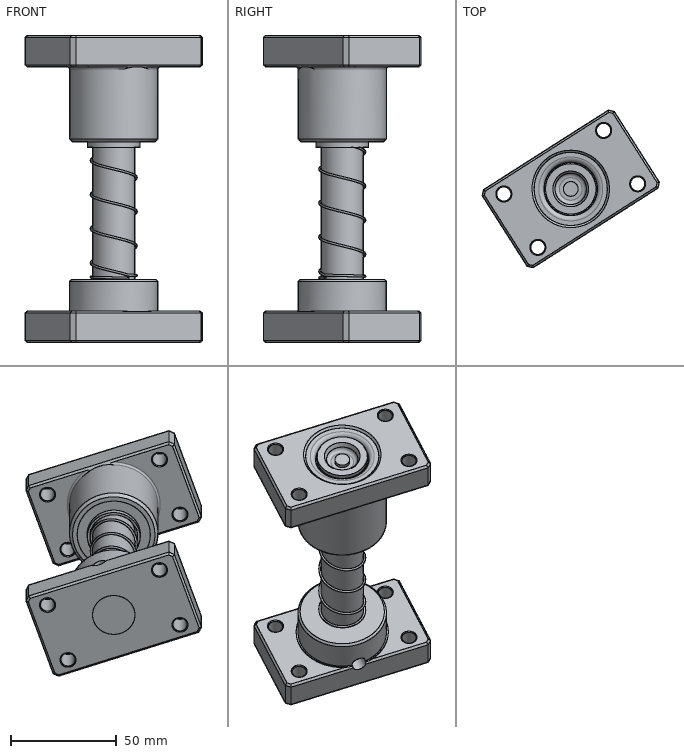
import cadquery as cq
import math

TOTAL_HEIGHT = 145.5
PLAN_ANGLE = 32.5

PLATE_LENGTH = 74.2
PLATE_WIDTH = 43.8
PLATE_THICKNESS = 15.0
CORNER_CHAMFER = 2.0
EDGE_CHAMFER = 1.0
CHAMFER_ANGLE = 45.0
BOLT_PITCH_LONG = 56.0
BOLT_PITCH_SHORT = 30.0
BOLT_HOLE_RADIUS = 3.3
BOLT_HOLE_CHAMFER = 0.5

BOSS_RADIUS = 21.0
LOWER_BOSS_HEIGHT = 15.0
LOWER_BOSS_CHAMFER = 1.0
UPPER_BOSS_HEIGHT = 35.5
UPPER_BOSS_CHAMFER = 1.5
CROSS_HOLE_RADIUS = 3.3
ROOT_GROOVE_WIDTH = 0.9
ROOT_GROOVE_DEPTH = 0.3
ROOT_FILLET = 1.0

BUSH_RADIUS = 17.3
BUSH_BORE_RADIUS = 12.7
BUSH_MOUTH_FILLET = 2.5
BUSH_RECESS = 1.0

POST_RADIUS = 10.0
DISH_RADIUS = 7.4
DISH_FILLET = 2.0
PIN_RADIUS = 3.5
PIN_HEIGHT = 1.7

CAP_RADIUS = 12.0
CAP_THICKNESS = 2.2
CAP_HOLE_TOP_RADIUS = 8.5

CAGE_RADIUS = 12.5
CAGE_PROTRUSION = 2.6
SPRING_POCKET_RADIUS = 11.3

WIRE_RADIUS = 0.51
COIL_RADIUS = 10.6
SPRING_PITCH = 16.2
ACTIVE_TURNS = 4.0
CLOSED_PITCH = 1.5
CLOSED_TURNS = 1.0
SPRING_START_ANGLE = 310.0
POINTS_PER_TURN = 24

LOWER_TOP = PLATE_THICKNESS + LOWER_BOSS_HEIGHT
UPPER_PLATE_BOTTOM = TOTAL_HEIGHT - PLATE_THICKNESS
UPPER_BOTTOM = UPPER_PLATE_BOTTOM - UPPER_BOSS_HEIGHT
CAGE_BOTTOM = UPPER_BOTTOM - CAGE_PROTRUSION
CAP_TOP = TOTAL_HEIGHT - BUSH_RECESS
POST_TOP = CAP_TOP - CAP_THICKNESS
DISH_FLOOR = POST_TOP - DISH_FILLET
SPRING_BOTTOM = LOWER_TOP + WIRE_RADIUS
SPRING_RISE = 2 * CLOSED_TURNS * CLOSED_PITCH + ACTIVE_TURNS * SPRING_PITCH
SPRING_POCKET_TOP = SPRING_BOTTOM + SPRING_RISE + WIRE_RADIUS


def cylinder(radius, bottom, top):
    """Solid cylinder on the common axis between two levels."""
    return cq.Workplane("XY").workplane(offset=bottom).circle(radius).extrude(top - bottom)


def flange_plate(bottom):
    """Rectangular plate with chamfered edges and four bolt holes, long side along X."""
    plate = (
        cq.Workplane("XY")
        .workplane(offset=bottom)
        .rect(PLATE_LENGTH, PLATE_WIDTH)
        .extrude(PLATE_THICKNESS)
        .edges("|Z")
        .chamfer(CORNER_CHAMFER)
        .faces("<Z or >Z")
        .edges()
        .chamfer(EDGE_CHAMFER)
    )
    drilled = (
        plate.faces(">Z")
        .workplane(origin=(0, 0, 0))
        .rect(BOLT_PITCH_LONG, BOLT_PITCH_SHORT, forConstruction=True)
        .vertices()
        .hole(2 * BOLT_HOLE_RADIUS)
    )
    return drilled.faces("<Z or >Z").edges("%CIRCLE").chamfer(BOLT_HOLE_CHAMFER)


def cone(bottom_radius, top_radius, bottom, top):
    """Solid cone frustum on the common axis between two levels."""
    base = cq.Vector(0, 0, bottom)
    return cq.Workplane("XY").add(cq.Solid.makeCone(bottom_radius, top_radius, top - bottom, base))


def turned_in_plan(body):
    """Turn a holder from the axes to its angle in plan."""
    return body.rotate((0, 0, 0), (0, 0, 1), PLAN_ANGLE)


def make_lower_holder():
    """Flange with a boss for the post, a shallow groove round its root and a cross hole."""
    boss = cylinder(BOSS_RADIUS, 0, LOWER_TOP).faces(">Z").chamfer(LOWER_BOSS_CHAMFER)
    bore = cylinder(POST_RADIUS, 0, LOWER_TOP)
    cross_hole = (
        cq.Workplane("XZ")
        .center(0, PLATE_THICKNESS)
        .circle(CROSS_HOLE_RADIUS)
        .extrude(-PLATE_WIDTH / 2)
    )
    root_groove = cylinder(
        BOSS_RADIUS + ROOT_GROOVE_WIDTH, PLATE_THICKNESS - ROOT_GROOVE_DEPTH, PLATE_THICKNESS
    )
    holder = flange_plate(0).cut(root_groove).union(boss)
    return turned_in_plan(holder.cut(bore).cut(cross_hole))


def upper_root_fillet():
    """Concave fillet under the upper plate, dying out where the plate's edge chamfer meets the boss."""
    fillet_bottom = UPPER_PLATE_BOTTOM - ROOT_FILLET
    ring = (
        cq.Workplane("XZ")
        .moveTo(BUSH_RADIUS, UPPER_PLATE_BOTTOM)
        .lineTo(BUSH_RADIUS, fillet_bottom)
        .lineTo(BOSS_RADIUS, fillet_bottom)
        .radiusArc((BOSS_RADIUS + ROOT_FILLET, UPPER_PLATE_BOTTOM), ROOT_FILLET)
        .close()
        .revolve(360, (0, 0, 0), (0, 1, 0))
    )
    chamfer_limit = (
        cq.Workplane("XY")
        .workplane(offset=UPPER_PLATE_BOTTOM)
        .rect(PLATE_LENGTH - 2 * EDGE_CHAMFER, PLATE_WIDTH - 2 * EDGE_CHAMFER)
        .extrude(-ROOT_FILLET, taper=CHAMFER_ANGLE)
    )
    return ring.intersect(chamfer_limit)


def make_upper_holder():
    """Flange with a long boss bored right through for the bush."""
    boss = cylinder(BOSS_RADIUS, UPPER_BOTTOM, UPPER_PLATE_BOTTOM)
    boss = boss.faces("<Z").chamfer(UPPER_BOSS_CHAMFER).union(upper_root_fillet())
    bore = cylinder(BUSH_RADIUS, UPPER_BOTTOM, TOTAL_HEIGHT)
    holder = flange_plate(UPPER_PLATE_BOTTOM).union(boss).cut(bore)
    mouth = cone(BUSH_RADIUS, BUSH_RADIUS + BUSH_RECESS, CAP_TOP, TOTAL_HEIGHT)
    return turned_in_plan(holder.cut(mouth))


def make_bush():
    """Plain bush whose bore opens at the top through a rounded mouth."""
    body = cylinder(BUSH_RADIUS, UPPER_BOTTOM, CAP_TOP)
    bore = cylinder(BUSH_BORE_RADIUS, UPPER_BOTTOM, CAP_TOP)
    mouth_edge = cq.selectors.RadiusNthSelector(0)
    return body.cut(bore).faces(">Z").edges(mouth_edge).fillet(BUSH_MOUTH_FILLET)


def make_post():
    """Post with a round-bottomed dish in its top face."""
    dish = cylinder(DISH_RADIUS, DISH_FLOOR, CAP_TOP).faces("<Z").edges().fillet(DISH_FILLET)
    return cylinder(POST_RADIUS, 0, POST_TOP).cut(dish)


def make_pin():
    """Short round pin standing on the floor of the dish."""
    return cylinder(PIN_RADIUS, DISH_FLOOR, DISH_FLOOR + PIN_HEIGHT)


def make_cap():
    """Flat ring on the post with a tapered hole that leads into the dish."""
    cap_hole = cone(DISH_RADIUS, CAP_HOLE_TOP_RADIUS, POST_TOP, CAP_TOP)
    return cylinder(CAP_RADIUS, POST_TOP, CAP_TOP).cut(cap_hole)


def make_cage():
    """Sleeve round the post with a pocket underneath for the upper end of the spring."""
    return (
        cylinder(CAGE_RADIUS, CAGE_BOTTOM, POST_TOP)
        .cut(cylinder(POST_RADIUS, CAGE_BOTTOM, POST_TOP))
        .cut(cylinder(SPRING_POCKET_RADIUS, CAGE_BOTTOM, SPRING_POCKET_TOP))
    )


def spring_point(turns):
    """Wire centre after a number of turns from the bottom end; it climbs clockwise."""
    active = min(max(turns - CLOSED_TURNS, 0), ACTIVE_TURNS)
    closed = turns - active
    angle = math.radians(SPRING_START_ANGLE - 360 * turns)
    return (
        COIL_RADIUS * math.cos(angle),
        COIL_RADIUS * math.sin(angle),
        SPRING_BOTTOM + closed * CLOSED_PITCH + active * SPRING_PITCH,
    )


def make_spring():
    """Round wire swept along the coil."""
    total_turns = 2 * CLOSED_TURNS + ACTIVE_TURNS
    steps = round(total_turns * POINTS_PER_TURN)
    path = cq.Workplane("XY").spline([spring_point(i / POINTS_PER_TURN) for i in range(steps + 1)])
    start = math.radians(SPRING_START_ANGLE)
    end_plane = cq.Plane(
        origin=spring_point(0),
        xDir=(0, 0, 1),
        normal=(math.sin(start), -math.cos(start), 0),
    )
    return cq.Workplane(end_plane).circle(WIRE_RADIUS).sweep(path, isFrenet=True)


lower_holder = make_lower_holder()
upper_holder = make_upper_holder()
bush = make_bush()
post = make_post()
pin = make_pin()
cap = make_cap()
cage = make_cage()
spring = make_spring()

result = cq.Compound.makeCompound(
    [
        lower_holder.solids().val(),
        upper_holder.solids().val(),
        bush.solids().val(),
        post.solids().val(),
        pin.solids().val(),
        cap.solids().val(),
        cage.solids().val(),
        spring.solids().val(),
    ]
)